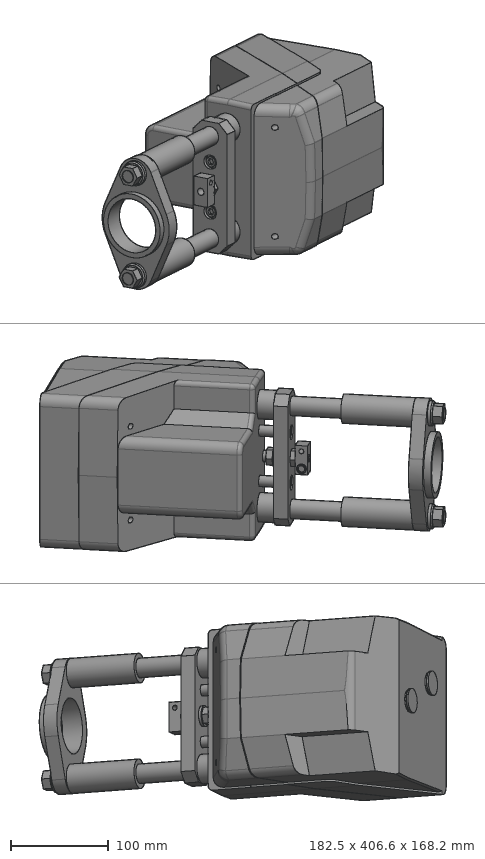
import cadquery as cq
import math


FAR = 300.0
OVERLAP = 1.0
REACH = 3.0

PARTING_ANGLE = 32.0
PARTING_SLOPE = math.tan(math.radians(PARTING_ANGLE))
RIGHT_SLOPE = math.tan(math.radians(30.0))
CROWN_SLOPE = math.tan(math.radians(1.3))

BASE_LEFT = -102.4
BASE_RIGHT = 80.1
COVER_INSET = 1.0
COVER_DROP = 0.2
HOUSING_BACK = 210.1
CROWN_HIGH = 84.1
CROWN_LOW = 82.0
LEFT_LEAN = 1.4
RIGHT_LEAN = 0.8
RIGHT_BEVEL_X = 68.3
RIGHT_BEVEL_Z = 41.0
SHELL_FILLET = 11.0
BACK_CHAMFER_DEPTH = 2.4
BACK_CHAMFER_DROP = 0.8

COVER_PARTING_Y = 105.9
SHOULDER_Y = 65.4
BAND_END_Y = 154.2
BAND_STEP = 0.6
BACK_BEVEL_X = 26.5
PLAN_FILLET = 12.0

NECK_LEFT = -29.2
NECK_RIGHT = 28.6
NECK_STEP = 5.7
NECK_DEPTH = 135.0
BOX_LEFT = -101.0
BOX_HALF_HEIGHT = 41.0
BOX_BEVEL = 13.0
BOX_CORNER_RADIUS = 11.0
FRONT_FILLET = 5.0

RECESS_TOP_X = 51.4
RECESS_FLOOR_X = 60.0
RECESS_FRONT_Y = 122.0

SCREW_HOLE_DIA = 6.0
SCREW_HOLE_DEPTH = 12.0
SHOULDER_HOLE = (-85.1, 50.0)
WING_HOLE = (47.0, 58.6)

CAP_CENTRES = [(0.0, 0.0), (-55.0, 27.5)]
CAP_DIA = 25.2
CAP_NECK_DIA = 22.6
CAP_HEIGHT = 4.12

COLUMN_Z = 55.0
SLEEVE_DIA = 30.4
ROD_DIA = 20.2
PLATE_BACK = -17.9
PLATE_FRONT = -33.2
PLATE_HALF_WIDTH = 20.5
PLATE_CHAMFER = 10.2
YOKE_HALF_HEIGHT = COLUMN_Z + SLEEVE_DIA / 2
SLEEVE_START = -87.2
FLANGE_BACK = -162.0
FLANGE_FRONT = -176.8
FLANGE_RADIUS = 40.5
FLANGE_END_RADIUS = 20.0
RING_FRONT = -184.2
RING_DIA = 68.2
BORE_DIA = 57.4

BOLT_END = -192.4
WASHER_FRONT = -181.4
WASHER_DIA = 26.0
WASHER_CHAMFER = 1.5
BOLT_HEX_FLATS = 18.8
BOLT_HEX_FRONT = -191.4
STUD_DIA = 13.0

SPACER_Z = 26.9
SPACER_DIA = 11.7
COUNTERBORE_DIA = 15.0
COUNTERBORE_DEPTH = 4.0
SCREW_HEAD_DIA = 11.0
SCREW_HEAD_HEIGHT = 3.0
SOCKET_DIA = 6.0

SPINDLE_DIA = 12.0
SPINDLE_BACK = -4.1
NUT_FLATS = 16.4
NUT_BACK = -7.8
SPINDLE_WASHER_BACK = -15.0
SPINDLE_WASHER_DIA = 21.4
COUPLING_BACK = -38.4
COUPLING_FRONT = -51.4
COUPLING_WIDTH = 16.6
COUPLING_HEIGHT = 31.0
COUPLING_BORE_DIA = 7.5
COUPLING_SCREW_Z = 9.4
COUPLING_HOLE_DIA = 5.0
COUPLING_RECESS_DIA = 10.0
COUPLING_RECESS_DEPTH = 1.5
COUPLING_SCREW_DIA = 7.0


def along_y(y_start, y_end, points):
    """Prism with an XZ outline between two Y positions."""
    plane = cq.Workplane("XZ", origin=(0, y_start, 0))
    return plane.polyline(points).close().extrude(y_start - y_end)


def cylinder(x, z, diameter, y_start, y_end):
    """Cylinder along Y."""
    plane = cq.Workplane("XZ", origin=(x, y_start, z))
    return plane.circle(diameter / 2).extrude(y_start - y_end)


def hexagon(x, z, flats, y_start, y_end):
    """Hexagonal prism along Y with its corners towards +X and -X."""
    plane = cq.Workplane("XZ", origin=(x, y_start, z))
    corners = flats / math.cos(math.radians(30))
    return plane.polygon(6, corners).extrude(y_start - y_end)


def plan_prism(points):
    """Prism with an XY outline, taller than the part."""
    return cq.Workplane("XY", origin=(0, 0, -FAR)).polyline(points).close().extrude(2 * FAR)


def mirrored(points):
    """Close an upper outline (Z > 0, left to right) with its mirror image."""
    return points + [(x, -z) for x, z in reversed(points) if z != 0]


def inclined(y_at_axis, x):
    """Y of an inclined parting line at the given X."""
    return y_at_axis - PARTING_SLOPE * x


def crown(height, x):
    """Z of a slightly roofed top face with its ridge at X = 0."""
    return height - CROWN_SLOPE * abs(x)


def edges_within(start, end):
    """Selector for edges centred between two points, widened by REACH."""
    low = cq.Vector(*start) - cq.Vector(REACH, REACH, REACH)
    high = cq.Vector(*end) + cq.Vector(REACH, REACH, REACH)
    return cq.selectors.BoxSelector(low.toTuple(), high.toTuple())


def round_plan_corner(plan, x, y):
    """Round one vertical edge of a plan prism."""
    corner = edges_within((x, y, 0), (x, y, 0))
    return plan.edges("|Z").edges(corner).fillet(PLAN_FILLET)


def shell(crown_height, inset, left_lean):
    """Full-length housing cross-section with rounded long edges."""
    left = BASE_LEFT + inset
    right = BASE_RIGHT - inset
    shoulder_x = left + left_lean
    bevel_x = RIGHT_BEVEL_X - inset
    outline = mirrored([
        (left, 0),
        (shoulder_x, crown(crown_height, shoulder_x)),
        (0, crown_height),
        (bevel_x, crown(crown_height, bevel_x)),
        (right - RIGHT_LEAN, RIGHT_BEVEL_Z),
        (right, 0),
    ])
    body = along_y(-FAR, FAR, outline)
    for x in (shoulder_x, bevel_x):
        z = crown(crown_height, x)
        for side in (1, -1):
            corner = edges_within((x, 0, side * z), (x, 0, side * z))
            body = body.edges("|Y").edges(corner).fillet(SHELL_FILLET)
    return body


def behind(y_at_axis):
    """Everything behind an inclined parting line."""
    return plan_prism([
        (-FAR, inclined(y_at_axis, -FAR)),
        (FAR, inclined(y_at_axis, FAR)),
        (FAR, 2 * FAR),
        (-FAR, 2 * FAR),
    ])


def split_shell(crown_height):
    """Lower housing and inset cover, meeting at the cover parting line."""
    cover_side = behind(COVER_PARTING_Y)
    lower = shell(crown_height, 0, LEFT_LEAN).cut(cover_side)
    cover = shell(crown_height - COVER_DROP, COVER_INSET, 0).intersect(cover_side)
    return lower.union(cover)


def wing_front(x):
    """Y of the slanted front face right of the neck."""
    return NECK_STEP + RIGHT_SLOPE * (x - NECK_RIGHT)


def back_bevel(x):
    """Y of the slanted rear face at the right."""
    return HOUSING_BACK - PARTING_SLOPE * (x - BACK_BEVEL_X)


def low_body():
    """Housing with the low crown: shoulder, right wing and cover."""
    wing_start_x = NECK_RIGHT - NECK_STEP / RIGHT_SLOPE
    cover_right = BASE_RIGHT - COVER_INSET
    outer_x = BASE_RIGHT + PLAN_FILLET
    plan = plan_prism([
        (-FAR, inclined(SHOULDER_Y, -FAR)),
        (wing_start_x, inclined(SHOULDER_Y, wing_start_x)),
        (wing_start_x, wing_front(wing_start_x)),
        (outer_x, wing_front(outer_x)),
        (outer_x, inclined(COVER_PARTING_Y, outer_x)),
        (cover_right, inclined(COVER_PARTING_Y, cover_right)),
        (cover_right, back_bevel(cover_right)),
        (BACK_BEVEL_X, HOUSING_BACK),
        (-FAR, HOUSING_BACK),
    ])
    plan = round_plan_corner(plan, cover_right, back_bevel(cover_right))
    body = split_shell(CROWN_LOW).intersect(plan)
    wing_normal = cq.Vector(RIGHT_SLOPE, -1, 0)
    body = body.faces(cq.selectors.DirectionMinMaxSelector(wing_normal, True))
    body = body.edges().edges(">Z or <Z or >X").fillet(SHELL_FILLET)
    for side in (1, -1):
        z = side * CROWN_LOW
        back_edge = edges_within((BASE_LEFT, HOUSING_BACK, z), (BASE_RIGHT, HOUSING_BACK, z))
        body = body.faces(">Y").edges(back_edge).chamfer(BACK_CHAMFER_DEPTH, BACK_CHAMFER_DROP)
    return body


def raised_band():
    """Diagonal band with the high crown that runs on into the neck."""
    band_right = NECK_RIGHT + BAND_STEP
    plan = plan_prism([
        (-FAR, inclined(SHOULDER_Y, -FAR)),
        (band_right, inclined(SHOULDER_Y, band_right)),
        (band_right, inclined(BAND_END_Y, band_right)),
        (-FAR, inclined(BAND_END_Y, -FAR)),
    ])
    plan = round_plan_corner(plan, band_right, inclined(BAND_END_Y, band_right))
    limit = cq.Workplane("XY").box(2 * FAR, HOUSING_BACK, 2 * FAR, centered=(True, False, True))
    return split_shell(CROWN_HIGH).intersect(plan).intersect(limit)


def neck_and_box():
    """Neck across the full height with the motor box on its left."""
    bevel_end = BOX_HALF_HEIGHT + BOX_BEVEL
    outline = mirrored([
        (BOX_LEFT, BOX_HALF_HEIGHT),
        (NECK_LEFT - BOX_BEVEL, BOX_HALF_HEIGHT),
        (NECK_LEFT, bevel_end),
        (NECK_LEFT, crown(CROWN_HIGH, NECK_LEFT)),
        (0, CROWN_HIGH),
        (NECK_RIGHT, crown(CROWN_HIGH, NECK_RIGHT)),
    ])
    block = along_y(0, NECK_DEPTH, outline)
    block = block.edges("|Y").edges("<X").fillet(BOX_CORNER_RADIUS)
    for side in (1, -1):
        z = side * crown(CROWN_HIGH, NECK_LEFT)
        wall_edge = edges_within((NECK_LEFT, 0, z), (NECK_LEFT, NECK_DEPTH, z))
        block = block.edges("|Y").edges(wall_edge).fillet(FRONT_FILLET)
    block = block.faces("<Y").edges("not(>X)").fillet(FRONT_FILLET)
    return block.cut(behind(COVER_PARTING_Y))


def cover_recesses():
    """Cutters for the stepped right corners of the cover."""
    far_x = BASE_RIGHT + PLAN_FILLET
    zone = behind(RECESS_FRONT_Y + PARTING_SLOPE * RECESS_TOP_X)
    cutters = cq.Workplane("XY")
    for side in (1, -1):
        cutters = cutters.union(along_y(0, FAR, [
            (RECESS_TOP_X, side * CROWN_HIGH),
            (RECESS_FLOOR_X, side * RIGHT_BEVEL_Z),
            (far_x, side * RIGHT_BEVEL_Z),
            (far_x, side * CROWN_HIGH),
        ]))
    return cutters.intersect(zone)


def housing_holes():
    """Blind screw holes in the shoulder and in the wing front."""
    shoulder_x, shoulder_z = SHOULDER_HOLE
    wing_x, wing_z = WING_HOLE
    shoulder_face = inclined(SHOULDER_Y, shoulder_x) - SCREW_HOLE_DIA
    shoulder_end = inclined(SHOULDER_Y, shoulder_x) + SCREW_HOLE_DEPTH
    wing_face = wing_front(wing_x) - SCREW_HOLE_DIA
    wing_end = wing_front(wing_x) + SCREW_HOLE_DEPTH
    holes = cq.Workplane("XY")
    for side in (1, -1):
        left_z = side * shoulder_z
        right_z = side * wing_z
        holes = holes.union(cylinder(shoulder_x, left_z, SCREW_HOLE_DIA, shoulder_face, shoulder_end))
        holes = holes.union(cylinder(wing_x, right_z, SCREW_HOLE_DIA, wing_face, wing_end))
    return holes


def rear_caps():
    """Round caps on narrower necks at the housing back."""
    caps = cq.Workplane("XY")
    mid = HOUSING_BACK + CAP_HEIGHT / 2
    for x, z in CAP_CENTRES:
        caps = caps.union(cylinder(x, z, CAP_NECK_DIA, HOUSING_BACK - OVERLAP, mid))
        caps = caps.union(cylinder(x, z, CAP_DIA, mid, HOUSING_BACK + CAP_HEIGHT))
    return caps


def housing():
    """Complete housing with neck, motor box, holes and caps."""
    body = low_body().union(raised_band()).cut(cover_recesses())
    return body.union(neck_and_box()).cut(housing_holes()).union(rear_caps())


def mounting_plate():
    """Octagonal plate with spacers to the housing and recessed screws."""
    plane = cq.Workplane("XZ", origin=(0, PLATE_BACK, 0))
    plate = plane.rect(2 * PLATE_HALF_WIDTH, 2 * YOKE_HALF_HEIGHT).extrude(PLATE_BACK - PLATE_FRONT)
    plate = plate.edges("|Y").chamfer(PLATE_CHAMFER)
    seat = PLATE_FRONT + COUNTERBORE_DEPTH
    head = seat - SCREW_HEAD_HEIGHT
    for z in (SPACER_Z, -SPACER_Z):
        plate = plate.union(cylinder(0, z, SPACER_DIA, OVERLAP, PLATE_BACK))
        plate = plate.cut(cylinder(0, z, COUNTERBORE_DIA, seat, PLATE_FRONT))
        plate = plate.union(cylinder(0, z, SCREW_HEAD_DIA, seat, head))
        plate = plate.cut(hexagon(0, z, SOCKET_DIA, seat, head))
    return plate


def column(z):
    """Stepped column with washer and hexagon bolt at its flange end."""
    washer = cylinder(0, z, WASHER_DIA, FLANGE_FRONT, WASHER_FRONT)
    washer = washer.faces("<Y").edges().chamfer(WASHER_CHAMFER)
    return (
        cylinder(0, z, SLEEVE_DIA, OVERLAP, PLATE_BACK)
        .union(cylinder(0, z, ROD_DIA, PLATE_BACK, SLEEVE_START))
        .union(cylinder(0, z, SLEEVE_DIA, SLEEVE_START, FLANGE_BACK))
        .union(washer)
        .union(hexagon(0, z, BOLT_HEX_FLATS, WASHER_FRONT, BOLT_HEX_FRONT))
        .union(cylinder(0, z, STUD_DIA, WASHER_FRONT, BOLT_END))
    )


def flange():
    """Lens-shaped flange with a raised ring and a through bore."""
    end_z = YOKE_HALF_HEIGHT - FLANGE_END_RADIUS
    sine = (FLANGE_RADIUS - FLANGE_END_RADIUS) / end_z
    cosine = math.sqrt(1 - sine ** 2)
    side = (FLANGE_RADIUS * cosine, FLANGE_RADIUS * sine)
    end = (FLANGE_END_RADIUS * cosine, end_z + FLANGE_END_RADIUS * sine)
    body = (
        cq.Workplane("XZ", origin=(0, FLANGE_BACK, 0))
        .moveTo(side[0], -side[1])
        .threePointArc((FLANGE_RADIUS, 0), side)
        .lineTo(*end)
        .threePointArc((0, YOKE_HALF_HEIGHT), (-end[0], end[1]))
        .lineTo(-side[0], side[1])
        .threePointArc((-FLANGE_RADIUS, 0), (-side[0], -side[1]))
        .lineTo(-end[0], -end[1])
        .threePointArc((0, -YOKE_HALF_HEIGHT), (end[0], -end[1]))
        .close()
        .extrude(FLANGE_BACK - FLANGE_FRONT)
    )
    body = body.union(cylinder(0, 0, RING_DIA, FLANGE_BACK, RING_FRONT))
    return body.cut(cylinder(0, 0, BORE_DIA, FLANGE_BACK, RING_FRONT))


def spindle():
    """Spindle end with washer and nuts, carrying the coupling block."""
    plane = cq.Workplane("XZ", origin=(0, COUPLING_BACK, 0))
    block = plane.rect(COUPLING_WIDTH, COUPLING_HEIGHT).extrude(COUPLING_BACK - COUPLING_FRONT)
    block = block.cut(cylinder(0, 0, COUPLING_BORE_DIA, COUPLING_BACK, COUPLING_FRONT))

    middle_y = (COUPLING_BACK + COUPLING_FRONT) / 2
    left_face = cq.Workplane("YZ", origin=(-COUPLING_WIDTH / 2, middle_y, 0))
    cross_hole = left_face.center(0, COUPLING_SCREW_Z).circle(COUPLING_HOLE_DIA / 2)
    block = block.cut(cross_hole.extrude(COUPLING_WIDTH))
    screw_recess = left_face.center(0, -COUPLING_SCREW_Z)
    screw_recess = screw_recess.circle(COUPLING_RECESS_DIA / 2).circle(COUPLING_SCREW_DIA / 2)
    block = block.cut(screw_recess.extrude(COUPLING_RECESS_DEPTH))

    return (
        block
        .union(cylinder(0, 0, SPINDLE_DIA, SPINDLE_BACK, PLATE_BACK))
        .union(hexagon(0, 0, NUT_FLATS, NUT_BACK, PLATE_BACK))
        .union(cylinder(0, 0, SPINDLE_WASHER_DIA, SPINDLE_WASHER_BACK, PLATE_BACK))
        .union(hexagon(0, 0, NUT_FLATS, PLATE_FRONT, COUPLING_BACK))
    )


result = housing().union(mounting_plate())
for column_z in (COLUMN_Z, -COLUMN_Z):
    result = result.union(column(column_z))
result = result.union(flange()).union(spindle())